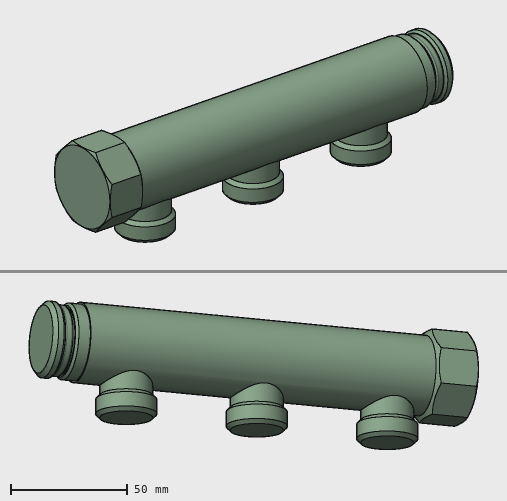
import cadquery as cq
import math

total_length = 194.0

pipe_radius = 17.5
spigot_length = 16.5
spigot_radius = 16.7
spigot_chamfer = 2.0
front_land_end = 4.5
rear_land_start = 11.3
groove_radius = 14.7
groove_chamfer = 1.2
seal_start = 5.5
seal_end = 9.3
seal_radius = 15.5
seal_edge_round = 0.8

nut_sides = 8
nut_width = 38.0
nut_length = 19.0
nut_front_radius = 18.8
nut_bevel_angle = math.radians(30)

outlet_count = 3
outlet_pitch = 60.0
last_outlet_from_tip = 39.2
outlet_bottom = -31.5
outlet_length = 9.9
neck_radius = 11.5
collar_radius = 13.2
collar_chamfer = collar_radius - neck_radius


def revolve_about_y(profile):
    """Revolve (radius, y) points about the Y axis."""
    return cq.Workplane("XY").polyline(profile).close().revolve(360, (0, 0, 0), (0, 1, 0))


def make_pipe():
    tip = total_length
    shoulder = tip - spigot_length
    rear_land = tip - rear_land_start
    groove_rear = rear_land + groove_chamfer
    front_land = tip - front_land_end
    groove_front = front_land - groove_chamfer
    lip_radius = spigot_radius - groove_chamfer
    body = revolve_about_y([
        (0, nut_length / 2),
        (pipe_radius, nut_length / 2),
        (pipe_radius, shoulder),
        (spigot_radius, shoulder),
        (spigot_radius, rear_land),
        (lip_radius, groove_rear),
        (groove_radius, groove_rear),
        (groove_radius, groove_front),
        (lip_radius, groove_front),
        (spigot_radius, front_land),
        (spigot_radius, tip - spigot_chamfer),
        (spigot_radius - spigot_chamfer, tip),
        (0, tip),
    ])
    seal = (
        cq.Workplane("XZ", origin=(0, tip - seal_start, 0))
        .circle(seal_radius)
        .extrude(seal_end - seal_start)
        .edges()
        .fillet(seal_edge_round)
    )
    return body.union(seal)


def make_nut():
    corner_radius = nut_width / 2 / math.cos(math.pi / nut_sides)
    octagon = (
        cq.Workplane("XZ")
        .polygon(nut_sides, 2 * corner_radius)
        .extrude(-nut_length)
        .rotate((0, 0, 0), (0, 1, 0), 180 / nut_sides)
    )
    front_bevel = (corner_radius - nut_front_radius) * math.tan(nut_bevel_angle)
    rear_bevel = (corner_radius - pipe_radius) * math.tan(nut_bevel_angle)
    envelope = revolve_about_y([
        (0, 0),
        (nut_front_radius, 0),
        (corner_radius, front_bevel),
        (corner_radius, nut_length - rear_bevel),
        (pipe_radius, nut_length),
        (0, nut_length),
    ])
    return octagon.intersect(envelope)


def make_outlet(y):
    neck_start = outlet_bottom + outlet_length
    profile = [
        (0, outlet_bottom),
        (neck_radius, outlet_bottom),
        (collar_radius, outlet_bottom + collar_chamfer),
        (collar_radius, neck_start - collar_chamfer),
        (neck_radius, neck_start),
        (neck_radius, 0),
        (0, 0),
    ]
    outlet = cq.Workplane("XZ").polyline(profile).close().revolve(360, (0, 0, 0), (0, 1, 0))
    return outlet.translate((0, y, 0))


result = make_pipe().union(make_nut())
for index in range(outlet_count):
    outlet_y = total_length - last_outlet_from_tip - index * outlet_pitch
    result = result.union(make_outlet(outlet_y))